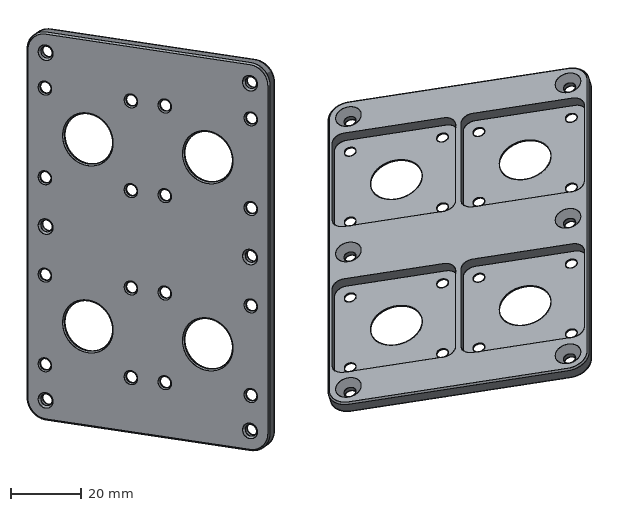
import cadquery as cq

width = 76.0
height = 116.4
thickness = 4.0
corner_radius = 6.0
edge_chamfer = 0.5

fixing_diameter = 3.5
fixing_chamfer = 0.6
countersink_diameter = 7.5
fixing_x = width / 2 - corner_radius
fixing_z = height / 2 - corner_radius

station_x = 18.7
station_z = 28.0
opening_diameter = 15.0
opening_chamfer = 0.41
screw_diameter = 3.4
screw_chamfer = 0.41
screw_pitch = 26.9

pocket_side = 36.0
pocket_corner_radius = 3.5
pocket_floor = 0.8
pocket_depth = thickness - pocket_floor

front_y = -thickness / 2
rear_y = thickness / 2
overcut = 1.2


def grid(x_offset, z_offset, center=(0, 0)):
    """Four (x, z) points placed symmetrically about a center."""
    center_x, center_z = center
    return [(center_x + sx * x_offset, center_z + sz * z_offset) for sx in (-1, 1) for sz in (-1, 1)]


def cut_at(body, tool, points):
    """Cut a copy of the tool out of the body at each (x, z) point."""
    for x, z in points:
        body = body.cut(tool.translate((x, 0, z)))
    return body


def revolved_tool(profile):
    """Solid from a (radius, y) profile turned about the Y axis."""
    return cq.Workplane("XY").polyline(profile).close().revolve(360, (0, 0, 0), (0, 1, 0))


def hole_tool(diameter, chamfer):
    """Through hole along Y with a 45 degree chamfer at the front face."""
    radius = diameter / 2
    return revolved_tool([
        (0, front_y - overcut),
        (radius + chamfer + overcut, front_y - overcut),
        (radius, front_y + chamfer),
        (radius, rear_y + overcut),
        (0, rear_y + overcut),
    ])


def countersink_tool(diameter):
    """90 degree cone that reaches the given diameter at the rear face."""
    radius = diameter / 2
    return revolved_tool([
        (0, rear_y - radius),
        (radius + overcut, rear_y + overcut),
        (0, rear_y + overcut),
    ])


def pocket_tool():
    """Round-cornered square recess in the rear face."""
    return (
        cq.Workplane("XY")
        .box(pocket_side, pocket_depth, pocket_side)
        .edges("|Y")
        .fillet(pocket_corner_radius)
        .translate((0, rear_y - pocket_depth / 2, 0))
    )


fixing_points = grid(fixing_x, fixing_z) + [(-fixing_x, 0), (fixing_x, 0)]
station_points = grid(station_x, station_z)
screw_points = [
    point for station in station_points for point in grid(screw_pitch / 2, screw_pitch / 2, station)
]

plate = (
    cq.Workplane("XY")
    .box(width, thickness, height)
    .edges("|Y")
    .fillet(corner_radius)
    .faces("<Y or >Y")
    .chamfer(edge_chamfer)
)
plate = cut_at(plate, pocket_tool(), station_points)
plate = cut_at(plate, hole_tool(opening_diameter, opening_chamfer), station_points)
plate = cut_at(plate, hole_tool(screw_diameter, screw_chamfer), screw_points)
plate = cut_at(plate, hole_tool(fixing_diameter, fixing_chamfer), fixing_points)
result = cut_at(plate, countersink_tool(countersink_diameter), fixing_points)